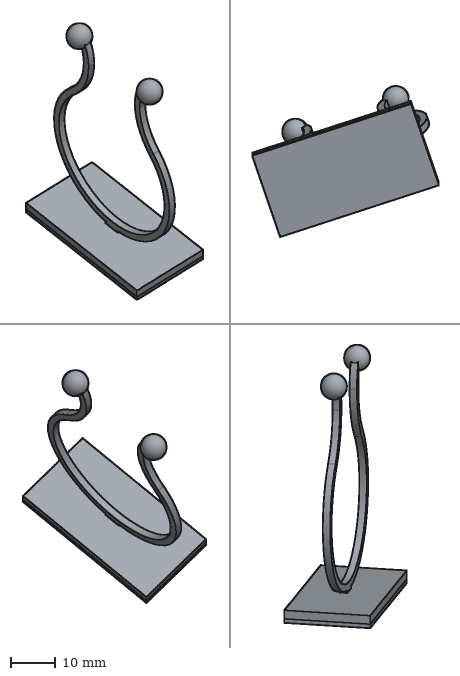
import cadquery as cq
import math

base_length = 38.0
base_width = 20.0
pad_thickness = 1.0
plate_thickness = 2.0
base_top = pad_thickness + plate_thickness

total_height = 57.5
strip_size = 1.7
ring_outer_radius = 19.8
ring_radius = ring_outer_radius - strip_size / 2
ring_gap = 0.4
ring_center_z = base_top + ring_gap + ring_outer_radius
neck_half_width = 8.75
neck_z = 48.35
tip_radius = 14.0
neck_rise = neck_z - ring_center_z
flare_radius = (neck_half_width**2 + neck_rise**2 - ring_radius**2) / (2 * (ring_radius - neck_half_width))
foot_length = 4.25

ball_radius = 3.0
ball_x = 12.0
ball_z = total_height - ball_radius


def make_layer(thickness, bottom):
    layer = cq.Workplane("XY").box(base_length, base_width, thickness, centered=(True, True, False))
    return layer.translate((0, 0, bottom))


def ring_point(radius, angle):
    return (radius * math.cos(angle), ring_center_z + radius * math.sin(angle))


def arm_point(arc_radius, offset, angle):
    """Point on an arm arc, shifted outward from its centreline by the offset."""
    radius = arc_radius + offset
    center_x = neck_half_width + arc_radius
    return (center_x + radius * math.cos(angle), neck_z + radius * math.sin(angle))


def make_ring(join_angle):
    """Ring stretch that runs through the bottom between the two arm joins."""
    inner_radius = ring_outer_radius - strip_size
    bottom_angle = -math.pi / 2
    far_angle = math.pi - join_angle
    return (
        cq.Workplane("XZ")
        .moveTo(*ring_point(ring_outer_radius, join_angle))
        .threePointArc(ring_point(ring_outer_radius, bottom_angle), ring_point(ring_outer_radius, far_angle))
        .lineTo(*ring_point(inner_radius, far_angle))
        .threePointArc(ring_point(inner_radius, bottom_angle), ring_point(inner_radius, join_angle))
        .close()
        .extrude(strip_size / 2, both=True)
    )


def make_arm_arc(arc_radius, start_angle, end_angle):
    """Strip bent around one arc of the right arm."""
    half_strip = strip_size / 2
    middle_angle = (start_angle + end_angle) / 2
    return (
        cq.Workplane("XZ")
        .moveTo(*arm_point(arc_radius, half_strip, start_angle))
        .threePointArc(
            arm_point(arc_radius, half_strip, middle_angle),
            arm_point(arc_radius, half_strip, end_angle),
        )
        .lineTo(*arm_point(arc_radius, -half_strip, end_angle))
        .threePointArc(
            arm_point(arc_radius, -half_strip, middle_angle),
            arm_point(arc_radius, -half_strip, start_angle),
        )
        .close()
        .extrude(half_strip, both=True)
    )


def make_arm(join_angle):
    """Right arm: a flare from the ring to the neck, a tip arc ending inside the ball, and the ball."""
    neck_angle = math.pi
    tip_angle = math.atan2(ball_z - neck_z, ball_x - neck_half_width - tip_radius)
    flare = make_arm_arc(flare_radius, join_angle + math.pi, neck_angle)
    tip = make_arm_arc(tip_radius, neck_angle, tip_angle)
    ball = cq.Workplane("XY").sphere(ball_radius).translate((ball_x, 0, ball_z))
    return flare.union(tip).union(ball)


def make_foot():
    """Small block that fills the gap between the ring and the plate."""
    height = ring_gap + strip_size / 2
    block = cq.Workplane("XY").box(foot_length, strip_size, height, centered=(True, True, False))
    return block.translate((0, 0, base_top))


def make_hook():
    join_angle = math.atan2(neck_rise, neck_half_width + flare_radius)
    right_arm = make_arm(join_angle)
    left_arm = right_arm.mirror("YZ")
    return make_ring(join_angle).union(make_foot()).union(right_arm).union(left_arm)


pad = make_layer(pad_thickness, 0)
plate = make_layer(plate_thickness, pad_thickness)
hook = make_hook()

result = cq.Compound.makeCompound([pad.val(), plate.val(), *hook.vals()])